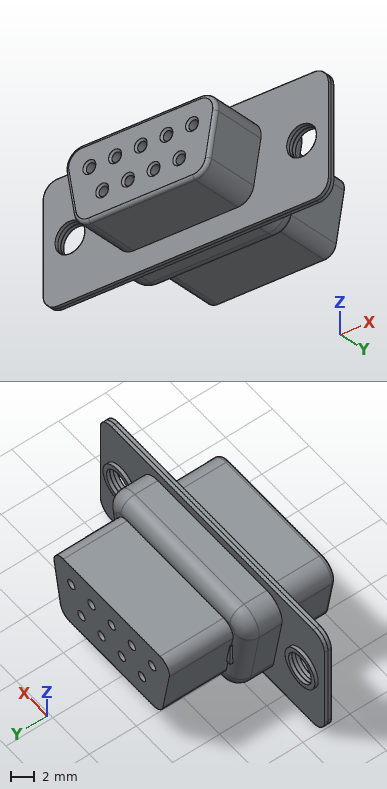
import cadquery as cq
import math


FLANGE_WIDTH = 30.8
FLANGE_HEIGHT = 12.5
FLANGE_CORNER_RADIUS = 1.55
SHEET = 0.37

MOUNT_X = 12.5
FLANGE_HOLE_DIAMETER = 3.2
BOSS_HOLE_DIAMETER = 3.1
BOSS_DIAMETER = 4.1
BOSS_HEIGHT = 0.37

SIDE_SLOPE = math.radians(10)
SHROUD_HALF_WIDTH = 7.8
SHROUD_HALF_HEIGHT = 3.95
SHROUD_CORNER_RADIUS = 1.75
REAR_HALF_WIDTH = 7.52
REAR_HALF_HEIGHT = 3.75
REAR_CORNER_RADIUS = 1.3
DOME_HALF_WIDTH = 9.05
DOME_HALF_HEIGHT = 5.3
DOME_CORNER_RADIUS = 2.1

FRONT_DEPTH = 6.4
DOME_DEPTH = 4.3
REAR_DEPTH = 11.1
DOME_EDGE_RADIUS = 1.5

TAB_HEIGHT = 2.4
TAB_DEPTH = 0.22
TAB_OUTER_X = 7.83

CONTACT_PITCH = 2.77
ROW_Z = 1.42
CONTACT_DIAMETER = 1.0
CONTACT_MOUTH_DIAMETER = 1.4
UPPER_COUNT = 5
LOWER_COUNT = 4


def plane_at(y):
    """XZ plane at depth y; negative extrusions from it run toward +Y."""
    return cq.Workplane("XZ", origin=(0, y, 0))


def d_prism(half_width, half_height, corner_radius, y_start, y_end):
    """D-shaped prism, wider at the top, with rounded corners along its length."""
    lean = half_height * math.tan(SIDE_SLOPE)
    corners = [
        (half_width + lean, half_height),
        (half_width - lean, -half_height),
        (-half_width + lean, -half_height),
        (-half_width - lean, half_height),
    ]
    prism = plane_at(y_start).polyline(corners).close().extrude(y_start - y_end)
    return prism.edges("|Y").fillet(corner_radius)


def front_core(y_start, y_end):
    """Inside of the front shroud, one sheet thickness within its outline."""
    return d_prism(
        SHROUD_HALF_WIDTH - SHEET / math.cos(SIDE_SLOPE),
        SHROUD_HALF_HEIGHT - SHEET,
        SHROUD_CORNER_RADIUS - SHEET,
        y_start,
        y_end,
    )


def rear_core(y_start, y_end):
    """Outline of the rear insulator."""
    return d_prism(REAR_HALF_WIDTH, REAR_HALF_HEIGHT, REAR_CORNER_RADIUS, y_start, y_end)


def mount_cylinders(diameter, y_start, y_end):
    """A pair of cylinders on the two mounting axes."""
    centres = [(-MOUNT_X, 0), (MOUNT_X, 0)]
    return plane_at(y_start).pushPoints(centres).circle(diameter / 2).extrude(y_start - y_end)


def flange(y_start):
    """Rounded flange plate, one sheet thick, with two mounting holes."""
    plate = plane_at(y_start).rect(FLANGE_WIDTH, FLANGE_HEIGHT).extrude(-SHEET)
    plate = plate.edges("|Y").fillet(FLANGE_CORNER_RADIUS)
    return plate.cut(mount_cylinders(FLANGE_HOLE_DIAMETER, y_start, y_start + SHEET))


def contact_centres():
    """X and Z of every contact hole; each row is centred on X = 0."""
    centres = []
    for count, z in ((UPPER_COUNT, ROW_Z), (LOWER_COUNT, -ROW_Z)):
        for index in range(count):
            centres.append(((index - (count - 1) / 2) * CONTACT_PITCH, z))
    return centres


def contact_holes(y_start, y_end):
    """Straight contact holes between two depths."""
    holes = plane_at(y_start).pushPoints(contact_centres())
    return holes.circle(CONTACT_DIAMETER / 2).extrude(y_start - y_end)


def make_front_shell():
    """Flange with a D-shaped shroud whose front lip is rounded over the full sheet thickness."""
    shroud = d_prism(
        SHROUD_HALF_WIDTH, SHROUD_HALF_HEIGHT, SHROUD_CORNER_RADIUS, -FRONT_DEPTH, 0
    )
    shroud = shroud.faces("<Y").edges().fillet(SHEET)
    return shroud.union(flange(-SHEET)).cut(front_core(-FRONT_DEPTH, 0))


def make_rear_shell():
    """Flange with a rounded dome, two mounting bosses and two tabs, bored for the insulator."""
    dome = d_prism(DOME_HALF_WIDTH, DOME_HALF_HEIGHT, DOME_CORNER_RADIUS, 0, DOME_DEPTH)
    dome = dome.faces(">Y").edges().fillet(DOME_EDGE_RADIUS)
    boss_top = SHEET + BOSS_HEIGHT
    bosses = mount_cylinders(BOSS_DIAMETER, SHEET, boss_top)
    bosses = bosses.cut(mount_cylinders(BOSS_HOLE_DIAMETER, SHEET, boss_top))
    tab_end = DOME_DEPTH + TAB_DEPTH
    tabs = plane_at(SHEET).rect(2 * TAB_OUTER_X, TAB_HEIGHT).extrude(SHEET - tab_end)
    shell = flange(0).union(dome).union(bosses).union(tabs)
    return shell.cut(rear_core(0, tab_end))


def make_front_insulator():
    """Block inside the shroud, flush with its lip, with flared contact holes."""
    block = front_core(-FRONT_DEPTH, 0).cut(contact_holes(-FRONT_DEPTH, 0))
    mouth_depth = (CONTACT_MOUTH_DIAMETER - CONTACT_DIAMETER) / 2
    for x, z in contact_centres():
        mouth = cq.Solid.makeCone(
            CONTACT_MOUTH_DIAMETER / 2,
            CONTACT_DIAMETER / 2,
            mouth_depth,
            pnt=cq.Vector(x, -FRONT_DEPTH, z),
            dir=cq.Vector(0, 1, 0),
        )
        block = block.cut(cq.Workplane(mouth))
    return block


def make_rear_insulator():
    """Block from the joint through the dome to the back, with straight contact holes."""
    return rear_core(0, REAR_DEPTH).cut(contact_holes(0, REAR_DEPTH))


front_shell = make_front_shell()
rear_shell = make_rear_shell()
front_insulator = make_front_insulator()
rear_insulator = make_rear_insulator()

result = cq.Compound.makeCompound(
    [front_shell.val(), rear_shell.val(), front_insulator.val(), rear_insulator.val()]
)